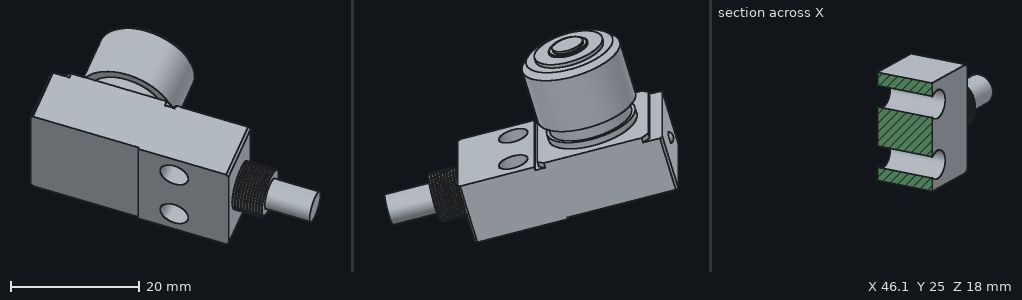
import cadquery as cq
import math

HEIGHT = 18.0
BODY_LEFT = 0.6
BODY_LENGTH = 33.1
BODY_RIGHT = BODY_LEFT + BODY_LENGTH
BODY_DEPTH = 10.0
EDGE_CHAMFER = 0.4

FRONT_STEP = 0.3
FRONT_STEP_END = 18.65

LEDGE_Y = 9.45
LEDGE_END = 21.25

KNOB_X = 11.7
PAD_TOP = 10.3
PAD_CORNER_RADIUS = 12.0

FLANGE_RADIUS = 7.2
FLANGE_TOP = 11.4
NECK_RADIUS = 6.65
NECK_TOP = 13.8
CAP_RADIUS = 8.0
CAP_TOP = 23.75
CAP_CHAMFER = 0.92
DISC_RADIUS = 5.55
DISC_TOP = 24.35
RING_RADIUS = 3.2
RING_TOP = 24.65
RING_CHAMFER = 0.15
TIP_RADIUS = 2.5
TIP_TOP = 25.0

AXIS_Y = (FRONT_STEP + PAD_TOP) / 2

HOLE_DIAMETER = 4.65
HOLE_X = 24.65
HOLE_SPACING = 10.0

COLLAR_LENGTH = 5.0
COLLAR_RADIUS = 3.95
THREAD_TURNS = 10
THREAD_START = 55
SPIRAL_POINTS = 12
THREAD_DEPTH = 0.32
CABLE_RADIUS = 2.5
CABLE_END = 46.15

BALL_RADIUS = 1.0


def box(x_min, x_max, y_min, y_max):
    """A full-height box centred on Z = 0."""
    size = (x_max - x_min, y_max - y_min, HEIGHT)
    return cq.Workplane("XY").box(*size, centered=(False, False, True)).translate((x_min, y_min, 0))


def make_body():
    body = box(BODY_LEFT, BODY_RIGHT, 0, BODY_DEPTH).edges("|Y").chamfer(EDGE_CHAMFER)
    body = body.cut(box(BODY_LEFT, FRONT_STEP_END, 0, FRONT_STEP))
    return body.cut(box(BODY_LEFT, LEDGE_END, LEDGE_Y, BODY_DEPTH))


def make_pad():
    """A square as wide as the body is high, its corners trimmed by a circle."""
    square = box(KNOB_X - HEIGHT / 2, KNOB_X + HEIGHT / 2, LEDGE_Y, PAD_TOP)
    disc = cq.Workplane("XZ").center(KNOB_X, 0).circle(PAD_CORNER_RADIUS).extrude(-PAD_TOP)
    return square.intersect(disc)


def make_knob():
    """Revolve the stepped half-profile of the knob about its own axis along Y."""
    profile = [
        (0, LEDGE_Y),
        (FLANGE_RADIUS, LEDGE_Y),
        (FLANGE_RADIUS, FLANGE_TOP),
        (NECK_RADIUS, FLANGE_TOP),
        (NECK_RADIUS, NECK_TOP),
        (CAP_RADIUS, NECK_TOP),
        (CAP_RADIUS, CAP_TOP - CAP_CHAMFER),
        (CAP_RADIUS - CAP_CHAMFER, CAP_TOP),
        (DISC_RADIUS, CAP_TOP),
        (DISC_RADIUS, DISC_TOP),
        (RING_RADIUS, DISC_TOP),
        (RING_RADIUS, RING_TOP - RING_CHAMFER),
        (RING_RADIUS - RING_CHAMFER, RING_TOP),
        (TIP_RADIUS, RING_TOP),
        (TIP_RADIUS, TIP_TOP),
        (0, TIP_TOP),
    ]
    knob = cq.Workplane("XY").polyline(profile).close().revolve(360, (0, 0), (0, 1))
    return knob.translate((KNOB_X, 0, 0))


def thread_flank(side):
    """Half of the thread's cross-section: a spiral falling from crest to root over half a turn."""
    def point(t):
        radius = COLLAR_RADIUS - THREAD_DEPTH * t
        return radius * math.cos(side * math.pi * t), radius * math.sin(side * math.pi * t)

    return point


def make_collar():
    """A sharp V-thread, made by twisting its cross-section one full turn per pitch."""
    section = cq.Workplane("YZ")
    for side in (1, -1):
        section = section.parametricCurve(thread_flank(side), N=SPIRAL_POINTS, makeWire=False)
    collar = section.consolidateWires().twistExtrude(COLLAR_LENGTH, 360 * THREAD_TURNS)
    return collar.rotate((0, 0, 0), (1, 0, 0), THREAD_START).translate((BODY_RIGHT, AXIS_Y, 0))


def make_cable():
    cable = cq.Workplane("YZ").center(AXIS_Y, 0).circle(CABLE_RADIUS).extrude(CABLE_END - BODY_RIGHT)
    return cable.translate((BODY_RIGHT, 0, 0))


def make_holes():
    holes = cq.Workplane("XZ").pushPoints([(HOLE_X, HOLE_SPACING / 2), (HOLE_X, -HOLE_SPACING / 2)])
    return holes.circle(HOLE_DIAMETER / 2).extrude(-BODY_DEPTH)


ball = cq.Workplane("XY").sphere(BALL_RADIUS).translate((BALL_RADIUS, AXIS_Y, 0))

result = make_body().union(make_pad()).union(make_knob()).cut(make_holes())
result = result.union(ball).union(make_collar()).union(make_cable())